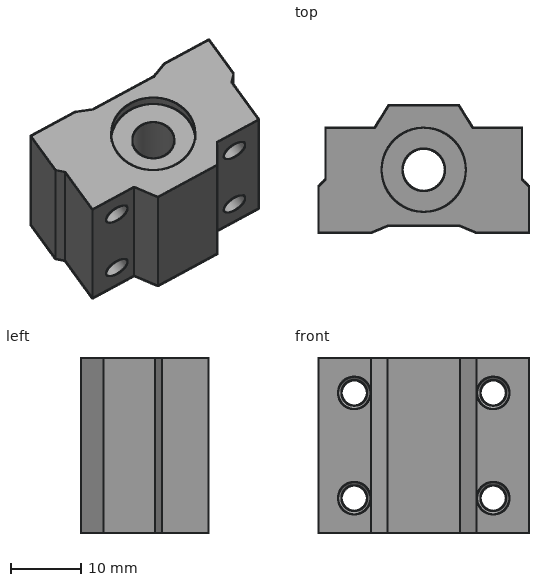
import cadquery as cq

height = 25.0
depth = 18.2
base_half_width = 15.0
body_half_width = 14.0
base_side_top = 6.65
body_side_bottom = 7.65
shoulder_y = 15.0

crown_root_half_width = 7.0
crown_top_half_width = 5.0

groove_mouth_half_width = 7.5
groove_floor_half_width = 5.13
groove_depth = 1.0

bore_y = 9.0
bore_diameter = 6.0
seat_diameter = 12.0
seat_depth = 1.8

hole_spacing_x = 19.8
hole_spacing_z = 15.0
hole_diameter = 3.6
countersink_diameter = 4.62
countersink_angle = 90.0


def make_block():
    """Extrude the profile, which is symmetric about the YZ plane."""
    right_side = [
        (groove_floor_half_width, groove_depth),
        (groove_mouth_half_width, 0),
        (base_half_width, 0),
        (base_half_width, base_side_top),
        (body_half_width, body_side_bottom),
        (body_half_width, shoulder_y),
        (crown_root_half_width, shoulder_y),
        (crown_top_half_width, depth),
    ]
    left_side = [(-x, y) for x, y in reversed(right_side)]
    return cq.Workplane("XY").polyline(right_side + left_side).close().extrude(height)


def cut_bearing_bore(block):
    """Cut the through bore and an equal round recess at each end."""
    bore_sketch = cq.Workplane("XY").center(0, bore_y)
    bore = bore_sketch.circle(bore_diameter / 2).extrude(height)
    bottom_seat = bore_sketch.circle(seat_diameter / 2).extrude(seat_depth)
    top_seat = bottom_seat.translate((0, 0, height - seat_depth))
    return block.cut(bore).cut(bottom_seat).cut(top_seat)


def cut_mounting_holes(block):
    """Cut four through holes, countersunk on the mounting face."""
    return (
        block.faces("<Y")
        .workplane(origin=(0, 0, height / 2))
        .rarray(hole_spacing_x, hole_spacing_z, 2, 2)
        .cskHole(hole_diameter, countersink_diameter, countersink_angle)
    )


result = cut_mounting_holes(cut_bearing_bore(make_block()))